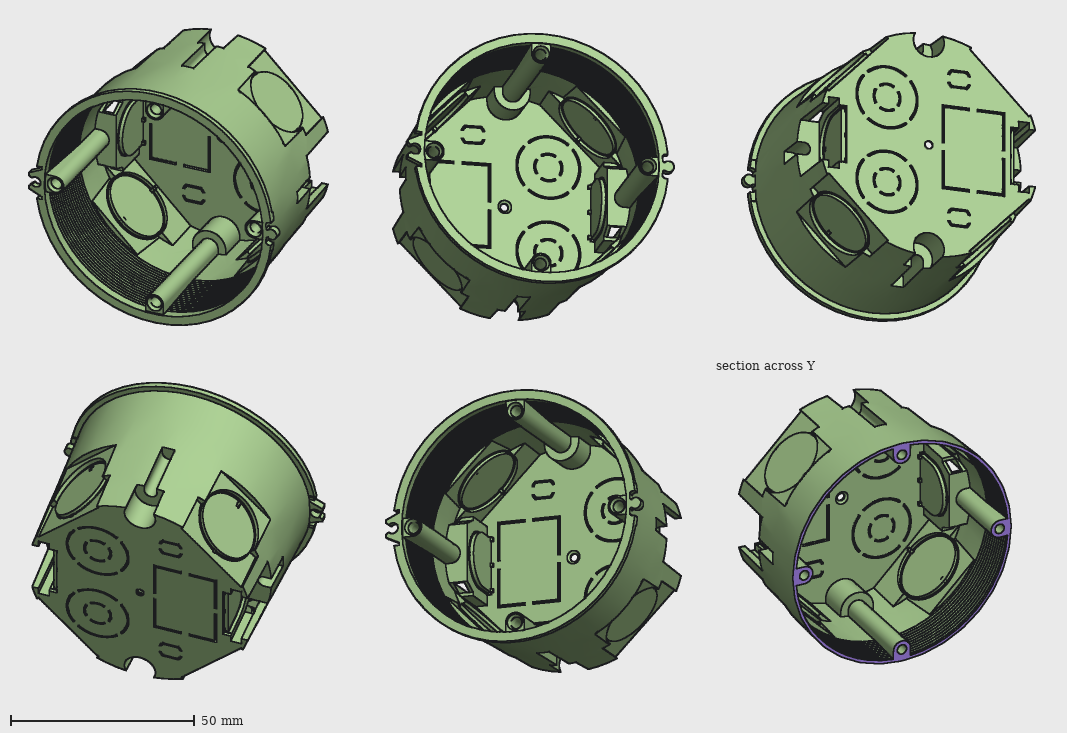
import cadquery as cq
import math

depth = 46.0
wall = 1.05
floor_thickness = 1.0
floor_inside = depth - floor_thickness
beyond = 44.7
overshoot = 0.75

SIDES = (0, 180)
ENDS = (90, 270)
QUARTERS = (0, 90, 180, 270)
DIAGONALS = (45, 135, 225, 315)

flange_radius = 35.45
flange_thickness = 1.6
shell_front_radius = 33.9
shell_back_radius = 32.2

mouth_radius = 32.85
bore_end_radius = 31.7
bore_back_radius = 31.5
first_step = 2.8
step_count = 18
last_step = 20.2
step_pitch = (last_step - first_step) / (step_count - 1)

tab_thickness = 2.0
tab_cut_length = tab_thickness + 2 * overshoot
tab_half_width = 5.95
tab_root = 33.6
joint_center = 35.45
knob_radius = 1.6
knob_bite_x = 34.85
knob_bite_z = 2.2
knob_bite_radius = 1.3
socket_radius = 1.5
fork_tip = 37.5
fork_root_half_width = 4.25
fork_tip_half_width = 2.45
fork_relief_half_width = 5.0
fork_throat_x = 36.65
fork_throat_half_width = 1.05
fork_mouth_half_width = 1.65

post_center = 29.95
post_radius = 2.7
post_front = 0.7
screw_mouth_radius = 2.2
screw_taper_radius = 1.65
screw_radius = 1.35
screw_taper_depth = 1.1
screw_step_depth = 3.0
screw_depth = 14.9
slot_center = 30.7
slot_radius = 1.8
slot_front = 22.05
notch_radius = 4.5
notch_cover_radius = 5.0
notch_front = 37.1

flat_front = slot_front
flat_step = 34.1
flat_front_distance = 31.5
flat_step_distance = 31.0
flat_wall = 1.3
recess_distance = 29.1
recess_half_width = 12.2
disc_center = 33.5
disc_hole_radius = 9.9
disc_radius = 9.45
disc_outside = 30.1
pry_half_width = 0.45
pry_length = 1.9
pry_depth = 0.75
bridge_height = 1.2
bridge_overlap = 0.15
bridge_length = 0.9

pocket_front = 31.0
pocket_floor = 26.2
pocket_half_width = 8.2
pocket_inside = pocket_floor - wall
door_hole_radius = 8.05
door_gap = 0.4
door_front_margin = 0.15
door_arc_center = pocket_front + door_front_margin + door_hole_radius
door_radius = door_hole_radius - door_gap
door_thickness = 1.2
door_inside = pocket_inside - door_thickness
door_tab_height = 0.75
door_pry_length = 1.35
door_tab_width = 0.9
door_tab_length = 0.9
door_tab_overlap = 0.3
clip_outer = 29.3
clip_top = 10.1
rail_slope_length = 4.3

gap = 0.45
center_hole_radius = 1.1
center_sink_radius = 1.85
center_sink_depth = 0.6
ring_x = 12.2
ring_z = 12.2
ring_sizes = ((9.0, 39.0), (4.0, 31.0))
window_x = -13.0
window_width = 18.2
window_height = 24.1
window_gap = 0.6
window_bridge = 2.4
oval_x = -8.9
oval_z = 20.05
oval_radius = 3.4
oval_half_height = 2.5
oval_bridge_half = 1.2


def layer(y):
    """Plane across the box axis at y, with local axes X and Z. Extruding by -h runs back."""
    return cq.Workplane("XZ", origin=(0, y, 0))


def block(x0, x1, y0, y1, z0, z1):
    return cq.Workplane("XY").box(x1 - x0, y1 - y0, z1 - z0, centered=False).translate((x0, y0, z0))


def disc(x, y, radius, length):
    """Round plate facing +X, from x to x + length, centred at height y on the box axis."""
    return cq.Workplane("YZ", origin=(x, 0, 0)).center(y, 0).circle(radius).extrude(length)


def turned(points):
    """Solid turned about Y from (radius, y) points; its seam lies towards +Z."""
    outline = [(y, radius) for radius, y in points]
    return cq.Workplane("YZ").polyline(outline).close().revolve(360, (0, 0, 0), (1, 0, 0))


def round_plate_at_mouth(radius, thickness):
    return turned([(0, 0), (radius, 0), (radius, thickness), (0, thickness)])


def around(shape, angles):
    """The shape copied around the box axis at the given angles."""
    copies = [shape.rotate((0, 0, 0), (0, 1, 0), angle) for angle in angles]
    joined = copies[0]
    for extra in copies[1:]:
        joined = joined.union(extra)
    return joined


def shell_solid():
    """Tapered outside of the box with its flange and coupling, not yet hollow."""
    cone = turned([(0, 0), (shell_front_radius, 0), (shell_back_radius, depth), (0, depth)])
    return cone.union(flange())


def bore():
    """Inside of the shell: smooth mouth, a run of small steps, then a slight taper."""
    drop = (mouth_radius - bore_end_radius) / step_count
    points = [(0, 0), (mouth_radius, 0)]
    for index in range(step_count):
        y = first_step + index * step_pitch
        points.append((mouth_radius - index * drop, y))
        points.append((mouth_radius - (index + 1) * drop, y))
    points.append((bore_back_radius, floor_inside))
    points.append((0, floor_inside))
    return turned(points)


def channel(center, radius, front):
    """U-shaped bar along the box axis, rounded inwards and open outwards in +X."""
    length = depth - front
    round_part = layer(front).center(center, 0).circle(radius).extrude(-length)
    return round_part.union(block(center, beyond, front, depth, -radius, radius))


def sloped_flat(offset, edge):
    """Material outside the front part of a flat moved inwards by offset and longer by edge."""
    step = flat_step + edge
    front = flat_front - edge
    return (
        cq.Workplane("XY")
        .polyline(
            [
                (flat_front_distance - offset, front),
                (flat_step_distance - offset, step),
                (beyond, step),
                (beyond, front),
            ]
        )
        .close()
        .extrude(beyond / 2, both=True)
    )


def recess(half_width, offset, edge):
    """Material outside the deeper back part of a flat, moved inwards and longer by edge."""
    return block(recess_distance - offset, beyond, flat_step - edge, depth, -half_width, half_width)


def clip_rails():
    """Walls around the clip slots at both sides of a pocket, with a sloped front."""
    rail_half = clip_top + wall
    slope_front = pocket_front - wall
    slope_back = slope_front + rail_slope_length
    return (
        cq.Workplane("YZ", origin=(pocket_inside, 0, 0))
        .polyline(
            [
                (slope_front, pocket_half_width),
                (slope_back, clip_top),
                (slope_back, rail_half),
                (depth, rail_half),
                (depth, -rail_half),
                (slope_back, -rail_half),
                (slope_back, -clip_top),
                (slope_front, -pocket_half_width),
            ]
        )
        .close()
        .extrude(beyond)
    )


def material_inside():
    """Walls and posts that stand in the bore."""
    posts = around(channel(post_center, post_radius, post_front), QUARTERS)
    covers = around(channel(post_center, notch_cover_radius, notch_front - wall), ENDS)
    flats = sloped_flat(flat_wall, wall).union(recess(beyond / 2, wall, wall))
    pocket = block(
        pocket_inside, beyond, pocket_front - wall, depth, -pocket_half_width, pocket_half_width
    )
    pockets = around(pocket.union(clip_rails()), SIDES)
    return posts.union(covers).union(around(flats, DIAGONALS)).union(pockets)


def outside_cuts():
    """Recesses cut into the outside of the shell."""
    slots = around(channel(slot_center, slot_radius, slot_front), QUARTERS)
    notch = layer(notch_front).center(post_center, 0).circle(notch_radius).extrude(notch_front - depth)
    flats = sloped_flat(0, 0).union(recess(recess_half_width, 0, 0))
    pocket = block(pocket_floor, beyond, pocket_front, depth, -pocket_half_width, pocket_half_width)
    for z0, z1 in ((-clip_top, -pocket_half_width), (pocket_half_width, clip_top)):
        clip = block(pocket_floor, clip_outer, pocket_front - wall, depth, z0, z1)
        pocket = pocket.union(clip)
    return (
        slots.union(around(notch, ENDS))
        .union(around(flats, DIAGONALS))
        .union(around(pocket, SIDES))
    )


def screw_hole():
    """Blind hole of the +X post: a countersink, a slight taper and a straight pilot."""
    taper_end = post_front + screw_taper_depth
    step_end = post_front + screw_step_depth
    hole = turned(
        [
            (0, 0),
            (screw_mouth_radius, 0),
            (screw_mouth_radius, post_front),
            (screw_taper_radius, taper_end),
            (screw_radius, step_end),
            (screw_radius, screw_depth),
            (0, screw_depth),
        ]
    )
    return hole.translate((post_center, 0, 0))


def pry_notch(x, y, length):
    """Wedge cut into a face at x, growing deeper from y towards the floor."""
    return (
        cq.Workplane("XY")
        .polyline([(x, y), (x, y + length), (x - pry_depth, y + length)])
        .close()
        .extrude(pry_half_width, both=True)
    )


def round_knockout():
    """Break-out disc on a diagonal flat, held by one small bridge."""
    edge_y = disc_center - disc_radius
    disc_inside = disc_outside - wall
    plate = disc(disc_inside, disc_center, disc_radius, wall)
    pry = pry_notch(disc_outside, edge_y, pry_length)
    bridge_y = disc_center + disc_radius
    bridge = block(
        disc_inside - bridge_height,
        disc_inside + bridge_overlap,
        bridge_y - bridge_length / 2,
        bridge_y + bridge_length,
        -pry_half_width,
        pry_half_width,
    )
    return plate.cut(pry).union(bridge)


def d_plate(x, thickness, radius, back):
    """D-shaped plate facing +X, round towards the mouth and straight back to y = back."""
    return (
        cq.Workplane("YZ", origin=(x, 0, 0))
        .moveTo(back, -radius)
        .lineTo(door_arc_center, -radius)
        .threePointArc((door_arc_center - radius, 0), (door_arc_center, radius))
        .lineTo(back, radius)
        .close()
        .extrude(thickness)
    )


def door():
    """Break-out D plate on the inner side of a pocket, held to the box floor by three tabs."""
    plate = d_plate(door_inside, door_thickness, door_radius, floor_inside)
    tip = door_arc_center - door_radius
    pry = pry_notch(pocket_inside, tip, door_pry_length)
    plate = plate.cut(pry)
    half = door_tab_width / 2
    side_tab_z = door_radius - half
    for z in (-side_tab_z, 0, side_tab_z):
        tab = block(
            door_inside - door_tab_height,
            door_inside + door_tab_overlap,
            floor_inside - door_tab_length,
            floor_inside + door_tab_overlap,
            z - half,
            z + half,
        )
        plate = plate.union(tab)
    return plate


def door_cuts():
    """Opening in the pocket floor, continued through the box floor behind the door."""
    opening = d_plate(pocket_inside, wall, door_hole_radius, floor_inside)
    behind = block(
        door_inside, beyond, floor_inside, depth, -pocket_half_width, pocket_half_width
    )
    return opening.union(behind.cut(block(pocket_floor, beyond, 0, depth, -beyond, beyond)))


def arc_slot(radius, middle, half_angle):
    """Arc-shaped slot through the floor, with its outer edge at the given radius."""

    def point(r, angle):
        return (r * math.cos(math.radians(angle)), r * math.sin(math.radians(angle)))

    start = middle - half_angle
    end = middle + half_angle
    inner = radius - gap
    return (
        layer(floor_inside)
        .moveTo(*point(radius, start))
        .threePointArc(point(radius, middle), point(radius, end))
        .lineTo(*point(inner, end))
        .threePointArc(point(inner, middle), point(inner, start))
        .close()
        .extrude(-floor_thickness)
    )


def ring_slots():
    slots = cq.Workplane("XY")
    for radius, half_angle in ring_sizes:
        for middle in QUARTERS:
            slots = slots.union(arc_slot(radius, middle, half_angle))
    return slots


def floor_plate(width, height):
    return layer(floor_inside).rect(width, height).extrude(-floor_thickness)


def window_slots():
    """Rectangular outline broken by a bridge in the middle of each side."""
    frame = floor_plate(window_width, window_height).cut(
        floor_plate(window_width - 2 * window_gap, window_height - 2 * window_gap)
    )
    bridges = floor_plate(window_bridge, window_height).union(floor_plate(window_width, window_bridge))
    return frame.cut(bridges)


def oval_slots():
    """Outline of a circle with two flats, broken by a bridge at each end."""

    def flattened(radius, half_height):
        round_plate = layer(floor_inside).circle(radius).extrude(-floor_thickness)
        return round_plate.intersect(floor_plate(2 * radius, 2 * half_height))

    frame = flattened(oval_radius, oval_half_height)
    frame = frame.cut(flattened(oval_radius - gap, oval_half_height - gap))
    return frame.cut(floor_plate(2 * oval_radius, 2 * oval_bridge_half))


def center_hole():
    return turned(
        [
            (0, floor_inside),
            (center_sink_radius, floor_inside),
            (center_hole_radius, floor_inside + center_sink_depth),
            (center_hole_radius, depth),
            (0, depth),
        ]
    )


def floor_cuts():
    cuts = center_hole().union(window_slots().translate((window_x, 0, 0)))
    for side in (1, -1):
        cuts = cuts.union(ring_slots().translate((ring_x, 0, side * ring_z)))
        cuts = cuts.union(oval_slots().translate((oval_x, 0, side * oval_z)))
    return cuts


def tab_cutter(points):
    """Prism over an X-Z outline, running through the flange and past both of its faces."""
    return layer(-overshoot).polyline(points).close().extrude(-tab_cut_length)


def flange():
    """Flange with thickened ends, the knob at +X and the fork at -X."""
    tab = block(tab_root, beyond, 0, tab_thickness, -tab_half_width, tab_half_width)
    tab = tab.intersect(round_plate_at_mouth(flange_radius, tab_thickness))
    plate = round_plate_at_mouth(flange_radius, flange_thickness).union(around(tab, SIDES))
    return add_fork(add_knob(plate))


def add_knob(body):
    """Knob on a neck at +X, between two rounded bites into the flange."""
    neck_half = knob_bite_z - knob_bite_radius
    outer_half = knob_bite_z + knob_bite_radius
    bites = block(
        knob_bite_x, beyond, -overshoot, tab_thickness + overshoot, -outer_half, outer_half
    )
    for z in (-knob_bite_z, knob_bite_z):
        round_end = layer(-overshoot).center(knob_bite_x, z).circle(knob_bite_radius)
        bites = bites.union(round_end.extrude(-tab_cut_length))
    neck = block(tab_root, joint_center, 0, tab_thickness, -neck_half, neck_half)
    knob = layer(0).center(joint_center, 0).circle(knob_radius).extrude(-tab_thickness)
    return body.cut(bites).union(neck).union(knob)


def add_fork(body):
    """Pointed fork at -X, with a round socket behind its throat."""
    relief = tab_cutter(
        [
            (-tab_root, fork_relief_half_width),
            (-beyond, fork_relief_half_width),
            (-beyond, -fork_relief_half_width),
            (-tab_root, -fork_relief_half_width),
        ]
    )
    fork = (
        layer(0)
        .polyline(
            [
                (-tab_root, fork_root_half_width),
                (-fork_tip, fork_tip_half_width),
                (-fork_tip, -fork_tip_half_width),
                (-tab_root, -fork_root_half_width),
            ]
        )
        .close()
        .extrude(-tab_thickness)
    )
    throat = tab_cutter(
        [
            (-joint_center, fork_throat_half_width),
            (-fork_throat_x, fork_throat_half_width),
            (-fork_tip, fork_mouth_half_width),
            (-fork_tip, -fork_mouth_half_width),
            (-fork_throat_x, -fork_throat_half_width),
            (-joint_center, -fork_throat_half_width),
        ]
    )
    socket = layer(-overshoot).center(-joint_center, 0).circle(socket_radius)
    socket = socket.extrude(-tab_cut_length)
    return body.cut(relief).union(fork).cut(socket.union(throat))


disc_holes = disc(recess_distance - 2 * wall, disc_center, disc_hole_radius, beyond)

body = shell_solid().cut(bore().cut(material_inside())).cut(outside_cuts())
body = body.cut(around(disc_holes, DIAGONALS)).union(around(round_knockout(), DIAGONALS))
body = body.cut(around(door_cuts(), SIDES)).union(around(door(), SIDES))
result = body.cut(around(screw_hole(), QUARTERS)).cut(floor_cuts())